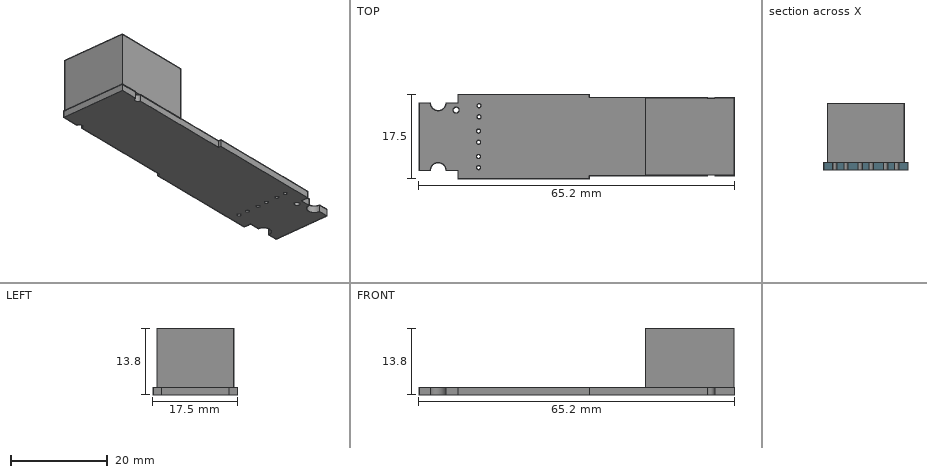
import cadquery as cq

board_length = 65.25
board_thickness = 1.6

tail_length = 8.0
tail_width = 14.0
middle_end = 35.2
middle_width = 17.5
head_width = 16.2

tail_notch_x = 3.95
tail_notch_diameter = 3.2
head_notch_x = 60.4
head_notch_diameter = 1.5

locating_hole_diameter = 1.2
locating_hole_x = 7.65
locating_hole_y = 5.5

wire_hole_diameter = 0.8
wire_pair_centres = [(12.3, -5.25), (12.3, 0), (12.4, 5.25)]
wire_hole_spacing = 2.3

block_length = 18.35
block_width = 15.9
block_height = 12.2
block_end_setback = 0.1


def board_section(start, end, width):
    """Rectangular stretch of the board, from X = start to X = end."""
    return (
        cq.Workplane("XY")
        .box(end - start, width, board_thickness, centered=(False, True, False))
        .translate((start, 0, 0))
    )


def through_holes(points, diameter):
    """Cylinders that pass through the board thickness at the given points."""
    return cq.Workplane("XY").pushPoints(points).circle(diameter / 2).extrude(board_thickness)


def edge_notches(x, width, diameter):
    """Pair of half-round cutters centred on the two long edges of a stretch of the board."""
    return through_holes([(x, -width / 2), (x, width / 2)], diameter)


def make_board():
    wire_hole_points = []
    for pair_x, pair_y in wire_pair_centres:
        for side in (-1, 1):
            wire_hole_points.append((pair_x, pair_y + side * wire_hole_spacing / 2))

    tail = board_section(0, tail_length, tail_width)
    middle = board_section(tail_length, middle_end, middle_width)
    head = board_section(middle_end, board_length, head_width)
    return (
        tail.union(middle)
        .union(head)
        .cut(edge_notches(tail_notch_x, tail_width, tail_notch_diameter))
        .cut(edge_notches(head_notch_x, head_width, head_notch_diameter))
        .cut(through_holes([(locating_hole_x, locating_hole_y)], locating_hole_diameter))
        .cut(through_holes(wire_hole_points, wire_hole_diameter))
    )


def make_connector_block():
    block_start = board_length - block_end_setback - block_length
    return (
        cq.Workplane("XY")
        .box(block_length, block_width, block_height, centered=(False, True, False))
        .translate((block_start, 0, board_thickness))
    )


board = make_board()
connector_block = make_connector_block()

result = cq.Compound.makeCompound([board.val(), connector_block.val()])